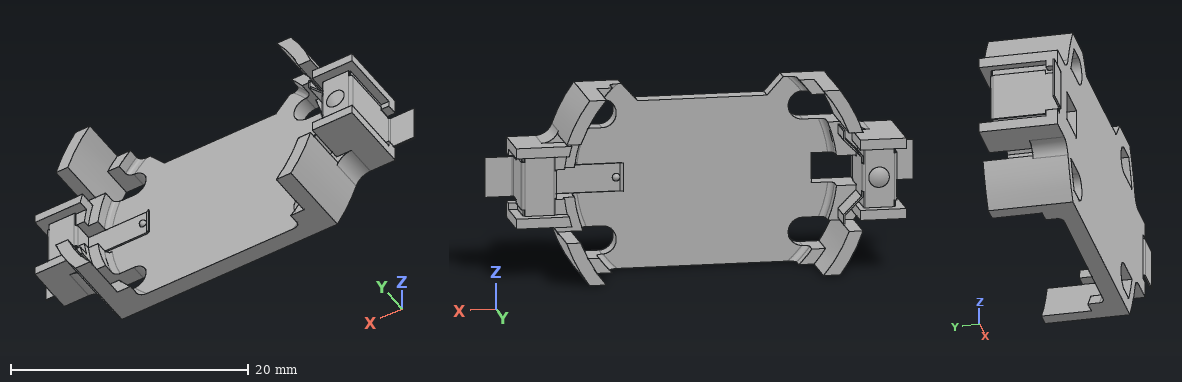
import cadquery as cq
import math


HALF_HEIGHT = 8.0
BODY_RADIUS = 13.4
END_X = 16.5
TAB_HALF_Z = 3.5
TAB_FILLET = 1.5
LEDGE_Y = 3.0
FLOOR_Y = 1.55
FLOOR_RADIUS = 11.3
FLOOR_FILLET = 0.48
CELL_RADIUS = 12.25
NOTCH_TOP_HALF_X = 6.95
NOTCH_BOTTOM_HALF_X = 5.55
NOTCH_Z = 6.45

ARM_Y = 7.35
ARM_START_Z = 4.25
OPENING_END_Z = 6.68
OPENING_TIP_X = 7.38

RAIL_INNER_Z = 2.6
NOTCH_HALF_Z = 2.05
RAIL_FOOT_Y = 1.03
WALL_X = 15.75
LEFT_RAIL_END_X = 12.55
LEFT_RAIL_Y = 6.83
RIGHT_RAIL_Y = 4.62

SLOT_OUTER_X = 13.03
SLOT_INNER_X = 9.35
SLOT_HALF_Z = 1.3

SHEET = 0.15
BEND_RADIUS = 0.25
INNER_BEND_RADIUS = BEND_RADIUS - SHEET
FOOT_END_X = 18.35
FOOT_HALF_Z = 1.72
FOOT_NECK_Y = 1.2
TONGUE_HALF_Z = 1.2
BRIDGE_DROP = 0.85
LEFT_BRIDGE_Y = LEFT_RAIL_Y - BRIDGE_DROP
RIGHT_BRIDGE_Y = RIGHT_RAIL_Y - BRIDGE_DROP
RISER_X = WALL_X + SHEET
TONGUE_X = SLOT_OUTER_X - SHEET

LEFT_TONGUE_Y = FLOOR_Y
LEFT_DIMPLE_X = 14.3
LEFT_DIMPLE_BASE_RADIUS = 0.88
LEFT_DIMPLE_HEIGHT = 0.22

WING_Y = 5.5
WING_BEND_Z = 1.75
WING_BEND_ANGLE = 45.0
WING_TIP_X = 11.5
WING_TIP_Z = 4.05

SPRING_Y = 1.72
SPRING_TIP_X = 6.83
SPRING_TIP_BEND_X = 7.12
SPRING_TIP_RISE = 0.15
RIGHT_DIMPLE_X = 7.45
RIGHT_DIMPLE_RADIUS = 0.33


def block(x_range, y_range, half_z):
    """Box between two X and two Y values, centred on Z = 0."""
    x_low, x_high = sorted(x_range)
    y_low, y_high = y_range
    size_x = x_high - x_low
    size_y = y_high - y_low
    return cq.Workplane("XY").box(size_x, size_y, 2 * half_z).translate(
        ((x_low + x_high) / 2, (y_low + y_high) / 2, 0)
    )


def disc(radius, y_low, y_high):
    """Cylinder about the Y axis."""
    plane = cq.Workplane("XZ", origin=(0, y_low, 0))
    return plane.circle(radius).extrude(-(y_high - y_low))


def mirrored_four(corner):
    """The (+X, +Z) corner feature and its three mirror images."""
    pair = [corner, corner.mirror("XY")]
    return pair + [item.mirror("YZ") for item in pair]


def base():
    """Round-ended plate with two end tabs, as high as the ledge."""
    round_part = disc(BODY_RADIUS, 0, LEDGE_Y).intersect(block((-END_X, END_X), (0, LEDGE_Y), HALF_HEIGHT))
    plate = round_part.union(block((-END_X, END_X), (0, LEDGE_Y), TAB_HALF_Z))

    centre_z = TAB_HALF_Z + TAB_FILLET
    centre_x = math.sqrt((BODY_RADIUS + TAB_FILLET) ** 2 - centre_z**2)
    touch_ratio = BODY_RADIUS / (BODY_RADIUS + TAB_FILLET)
    touch_x = centre_x * touch_ratio
    touch_z = centre_z * touch_ratio
    to_origin = math.atan2(-centre_z, -centre_x)
    middle_angle = (to_origin - math.pi / 2) / 2
    middle_x = centre_x + TAB_FILLET * math.cos(middle_angle)
    middle_z = centre_z + TAB_FILLET * math.sin(middle_angle)
    web = (
        cq.Workplane("XZ")
        .moveTo(centre_x, TAB_HALF_Z)
        .threePointArc((middle_x, middle_z), (touch_x, touch_z))
        .lineTo(touch_x - TAB_FILLET, TAB_HALF_Z)
        .close()
        .extrude(-LEDGE_Y)
    )
    for fillet_web in mirrored_four(web):
        plate = plate.union(fillet_web)
    return plate


def arms():
    """Four curved arms that hold the rim of the cell."""
    ring = disc(BODY_RADIUS, 0, ARM_Y).cut(disc(CELL_RADIUS, 0, ARM_Y))
    ring = ring.intersect(block((-END_X, END_X), (0, ARM_Y), HALF_HEIGHT))
    return ring.cut(block((-END_X, END_X), (0, ARM_Y), ARM_START_Z))


def end_blocks():
    """Rails and end walls on both end tabs, with room for the spring wings at the left end."""
    left_rails = block((-END_X, -LEFT_RAIL_END_X), (0, LEFT_RAIL_Y), TAB_HALF_Z)
    left_gap = block((-END_X, -LEFT_RAIL_END_X), (LEFT_BRIDGE_Y - SHEET, LEFT_RAIL_Y), RAIL_INNER_Z)
    spring_gap = block((-SLOT_OUTER_X, -LEFT_RAIL_END_X), (LEDGE_Y, LEFT_RAIL_Y), RAIL_INNER_Z)
    right_rails = block((0, END_X), (0, RIGHT_RAIL_Y), TAB_HALF_Z)
    right_gap = block((0, END_X), (RIGHT_BRIDGE_Y - SHEET, RIGHT_RAIL_Y), RAIL_INNER_Z)
    blocks = left_rails.cut(left_gap).cut(spring_gap).union(right_rails.cut(right_gap))
    return blocks.cut(disc(CELL_RADIUS, 0, ARM_Y))


def corner_opening():
    """Opening through the floor: round towards the middle, following the cell outside."""
    radius = (OPENING_END_Z - ARM_START_Z) / 2
    centre_x = OPENING_TIP_X + radius
    middle_z = ARM_START_Z + radius
    outline = (
        cq.Workplane("XZ")
        .moveTo(END_X, ARM_START_Z)
        .lineTo(centre_x, ARM_START_Z)
        .threePointArc((OPENING_TIP_X, middle_z), (centre_x, OPENING_END_Z))
        .lineTo(END_X, OPENING_END_Z)
        .close()
        .extrude(-ARM_Y)
    )
    return outline.intersect(disc(CELL_RADIUS, 0, ARM_Y))


def finger_notch():
    return (
        cq.Workplane("XZ")
        .moveTo(-NOTCH_TOP_HALF_X, HALF_HEIGHT)
        .lineTo(-NOTCH_BOTTOM_HALF_X, NOTCH_Z)
        .lineTo(NOTCH_BOTTOM_HALF_X, NOTCH_Z)
        .lineTo(NOTCH_TOP_HALF_X, HALF_HEIGHT)
        .close()
        .extrude(-ARM_Y)
    )


def make_housing():
    body = base().union(arms()).union(end_blocks())
    body = body.cut(disc(FLOOR_RADIUS, FLOOR_Y, ARM_Y).faces("<Y").edges().fillet(FLOOR_FILLET))
    for opening in mirrored_four(corner_opening()):
        body = body.cut(opening)
    body = body.cut(finger_notch())
    for side in (-1, 1):
        end_range = (side * WALL_X, side * END_X)
        body = body.cut(block(end_range, (0, ARM_Y), NOTCH_HALF_Z))
        body = body.cut(block(end_range, (RAIL_FOOT_Y, ARM_Y), RAIL_INNER_Z))
    body = body.cut(block((-SLOT_OUTER_X, -SLOT_INNER_X), (0, ARM_Y), SLOT_HALF_Z))
    return body.cut(block((SLOT_INNER_X, SLOT_OUTER_X), (FLOOR_Y, ARM_Y), SLOT_HALF_Z))


def bend(sheet, outer_corner, inner_corner):
    """Round both sides of a right-angled bend, given its corners in X and Y."""
    for (x, y), radius in ((outer_corner, BEND_RADIUS), (inner_corner, INNER_BEND_RADIUS)):
        reach = SHEET / 4
        near_corner = cq.selectors.BoxSelector(
            (x - reach, y - reach, -END_X), (x + reach, y + reach, END_X)
        )
        sheet = sheet.edges("|Z").edges(near_corner).fillet(radius)
    return sheet


def contact_strip(bridge_y, tongue_end_y):
    """Solder foot, riser, bridge over the end wall and tongue going down inside it."""
    bridge_bottom = bridge_y - SHEET
    outline = [
        (FOOT_END_X, -SHEET),
        (WALL_X, -SHEET),
        (WALL_X, bridge_bottom),
        (SLOT_OUTER_X, bridge_bottom),
        (SLOT_OUTER_X, tongue_end_y),
        (TONGUE_X, tongue_end_y),
        (TONGUE_X, bridge_y),
        (RISER_X, bridge_y),
        (RISER_X, 0),
        (FOOT_END_X, 0),
    ]
    strip = cq.Workplane("XY").polyline(outline).close().extrude(RAIL_INNER_Z, both=True)
    strip = bend(strip, (WALL_X, -SHEET), (RISER_X, 0))
    strip = bend(strip, (RISER_X, bridge_y), (WALL_X, bridge_bottom))
    strip = bend(strip, (TONGUE_X, bridge_y), (SLOT_OUTER_X, bridge_bottom))

    bridge_start_x = RISER_X - BEND_RADIUS
    widths = block((WALL_X, FOOT_END_X), (-SHEET, FOOT_NECK_Y), FOOT_HALF_Z)
    widths = widths.union(block((bridge_start_x, RISER_X), (FOOT_NECK_Y, bridge_y), NOTCH_HALF_Z))
    widths = widths.union(block((SLOT_OUTER_X, bridge_start_x), (bridge_bottom, bridge_y), RAIL_INNER_Z))
    widths = widths.union(block((TONGUE_X, bridge_start_x), (tongue_end_y, bridge_y), TONGUE_HALF_Z))
    return strip.intersect(widths)


def spring_wings():
    """Upper part of the left tongue: a flat middle, then slopes to two flat tips."""
    slope = SLOT_OUTER_X - WING_TIP_X
    mitre = SHEET * math.tan(math.radians(WING_BEND_ANGLE / 2))
    tip_bend_z = WING_BEND_Z + slope
    inner_tip_x = WING_TIP_X - SHEET
    half = (
        cq.Workplane("XZ", origin=(0, LEDGE_Y, 0))
        .moveTo(SLOT_OUTER_X, 0)
        .lineTo(SLOT_OUTER_X, WING_BEND_Z)
        .lineTo(WING_TIP_X, tip_bend_z)
        .lineTo(WING_TIP_X, WING_TIP_Z)
        .lineTo(inner_tip_x, WING_TIP_Z)
        .lineTo(inner_tip_x, tip_bend_z - mitre)
        .lineTo(TONGUE_X, WING_BEND_Z - mitre)
        .lineTo(TONGUE_X, 0)
        .close()
        .extrude(-(WING_Y - LEDGE_Y))
    )
    return half.union(half.mirror("XY"))


def make_left_contact():
    """Tall contact with spring wings on its tongue and a shallow dimple on its bridge."""
    strip = contact_strip(LEFT_BRIDGE_Y, LEFT_TONGUE_Y)
    sphere_radius = (LEFT_DIMPLE_BASE_RADIUS**2 + LEFT_DIMPLE_HEIGHT**2) / (2 * LEFT_DIMPLE_HEIGHT)
    sphere_y = LEFT_BRIDGE_Y + LEFT_DIMPLE_HEIGHT - sphere_radius
    sphere = cq.Workplane("XY").sphere(sphere_radius).translate((LEFT_DIMPLE_X, sphere_y, 0))
    cap_space = block((0, END_X), (LEFT_BRIDGE_Y - SHEET / 2, ARM_Y), TAB_HALF_Z)
    return strip.union(spring_wings()).union(sphere.intersect(cap_space)).mirror("YZ")


def make_right_contact():
    """Low contact whose tongue runs above the floor to an upturned, dimpled tip."""
    strip = contact_strip(RIGHT_BRIDGE_Y, SPRING_Y)
    spring_top = SPRING_Y + SHEET
    spring = (
        cq.Workplane("XY")
        .moveTo(SLOT_OUTER_X, SPRING_Y)
        .lineTo(SPRING_TIP_BEND_X, SPRING_Y)
        .lineTo(SPRING_TIP_X, SPRING_Y + SPRING_TIP_RISE)
        .lineTo(SPRING_TIP_X, spring_top + SPRING_TIP_RISE)
        .lineTo(SPRING_TIP_BEND_X, spring_top)
        .lineTo(SLOT_OUTER_X, spring_top)
        .close()
        .extrude(TONGUE_HALF_Z, both=True)
    )
    dimple = cq.Workplane("XY").sphere(RIGHT_DIMPLE_RADIUS).translate((RIGHT_DIMPLE_X, spring_top, 0))
    dimple = dimple.intersect(block((0, END_X), (SPRING_Y, ARM_Y), TAB_HALF_Z))
    return strip.union(spring).union(dimple)


left_contact = make_left_contact()
right_contact = make_right_contact()
housing = make_housing().cut(left_contact).cut(right_contact)

bodies = [housing, left_contact, right_contact]
result = cq.Compound.makeCompound([body.solids().val() for body in bodies])